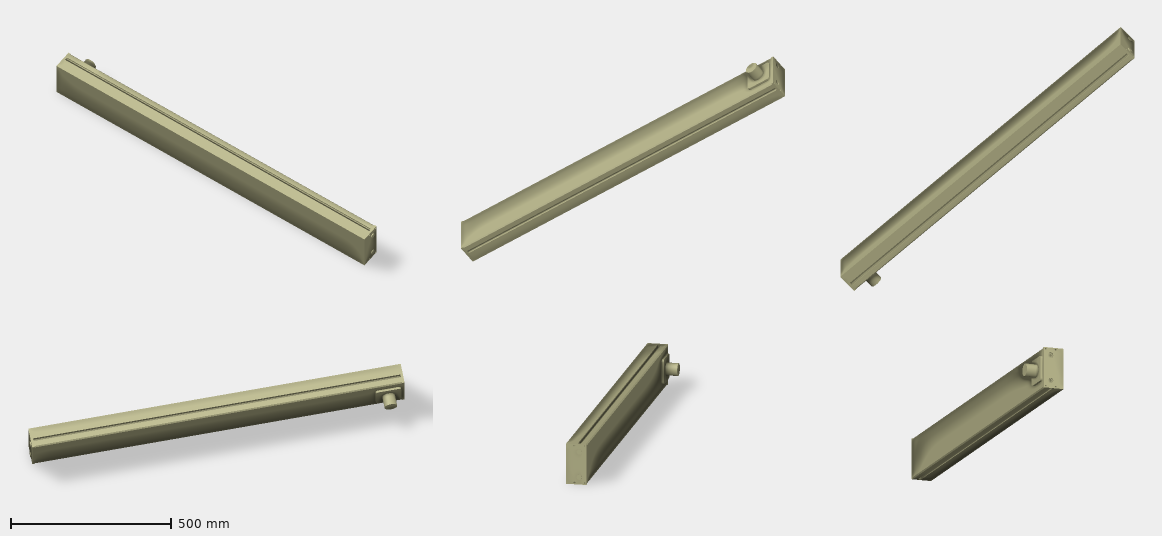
import cadquery as cq

overall_length = 1186.0
overall_depth = 110.0
height = 130.0

boss_length = 3.0
body_length = overall_length - boss_length

cover_thickness = 21.0
body_depth = 65.0
rail_depth = body_depth - cover_thickness
port_y = 43.0

end_plate_thickness = 7.7
rail_length = body_length - 2 * end_plate_thickness

rail_chamfer = 4.0
groove_front_y = 35.0
groove_width = 11.0
groove_depth = 10.0
ledge_width = 4.0
ledge_depth = 4.0

port_spacing = 82.0
port_diameter = 17.0
port_bore = 7.0
port_recess_depth = end_plate_thickness / 2
screw_hole_diameter = 6.0
screw_hole_inset = 5.3

knob_x = 52.0
knob_diameter = 40.0
flange_size = 81.0
flange_corner_radius = 8.0
flange_thickness = 7.0


def block(x, y, z, length, depth, tall):
    """Box starting at (x, y, z)."""
    return cq.Workplane("XY").box(length, depth, tall, centered=False).translate((x, y, z))


def rod_along_x(x, points, diameter, length):
    """Rods along +X from the plane at x, one at each (Y, Z) point."""
    plane = cq.Workplane("YZ", origin=(x, 0, 0))
    return plane.pushPoints(points).circle(diameter / 2).extrude(length)


def make_cover():
    return block(0, 0, -height / 2, body_length, cover_thickness, height)


def make_groove():
    """Stepped groove cut down from the top face along the whole rail."""
    groove_rear_y = groove_front_y + groove_width
    top = height / 2
    main_width = groove_width - ledge_width
    deep = block(
        end_plate_thickness, groove_front_y, top - groove_depth, rail_length, main_width, groove_depth
    )
    ledge = block(
        end_plate_thickness, groove_rear_y - ledge_width, top - ledge_depth,
        rail_length, ledge_width, ledge_depth,
    )
    return deep.union(ledge)


def make_rail():
    rail = block(end_plate_thickness, cover_thickness, -height / 2, rail_length, rail_depth, height)
    rail = rail.faces(">Y").edges("|X").chamfer(rail_chamfer)
    groove = make_groove()
    return rail.cut(groove).cut(groove.mirror("XY"))


port_points = [(port_y, side * port_spacing / 2) for side in (-1, 1)]
screw_points = [
    (y, side * (height / 2 - screw_hole_inset))
    for y in (cover_thickness + screw_hole_inset, body_depth - screw_hole_inset)
    for side in (-1, 1)
]


def make_end_plate(x):
    """Plain end plate with a screw hole in each corner."""
    plate = block(x, cover_thickness, -height / 2, end_plate_thickness, rail_depth, height)
    return plate.cut(rod_along_x(x, screw_points, screw_hole_diameter, end_plate_thickness))


def make_left_end_plate():
    """End plate with two counterbored ports."""
    plate = make_end_plate(0)
    plate = plate.cut(rod_along_x(0, port_points, port_diameter, port_recess_depth))
    return plate.cut(rod_along_x(0, port_points, port_bore, end_plate_thickness))


def make_right_end_plate():
    """End plate with two round bosses."""
    plate = make_end_plate(body_length - end_plate_thickness)
    return plate.union(rod_along_x(body_length, port_points, port_diameter, boss_length))


def make_knob():
    """Rounded square flange on the rear face carrying a round stem."""
    rear = cq.Workplane("XZ", origin=(knob_x, body_depth, 0))
    flange = rear.rect(flange_size, flange_size).extrude(-flange_thickness)
    flange = flange.edges("|Y").fillet(flange_corner_radius)
    stem = rear.circle(knob_diameter / 2).extrude(-(overall_depth - body_depth))
    return flange.union(stem)


cover = make_cover()
rail = make_rail()
left_end_plate = make_left_end_plate()
right_end_plate = make_right_end_plate()
knob = make_knob()

result = cq.Compound.makeCompound(
    [cover.val(), rail.val(), left_end_plate.val(), right_end_plate.val(), knob.val()]
)